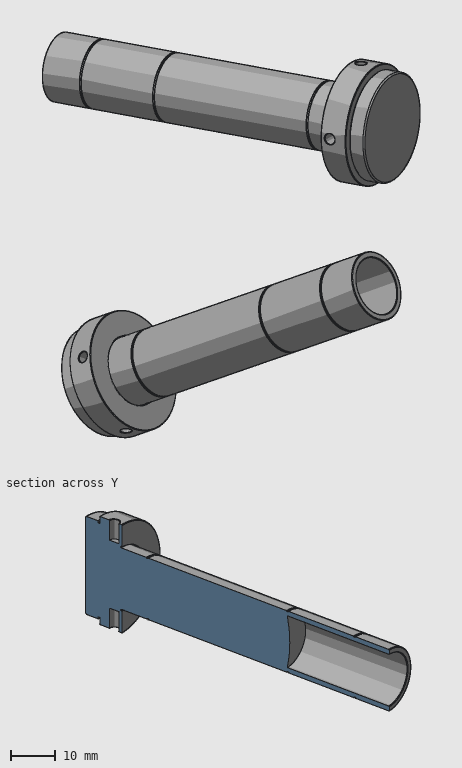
import cadquery as cq

total_length = 86.5

tube_diameter = 16.0
tube_end_chamfer = 0.2

bore_diameter = 13.2
bore_depth = 29.0
bore_mouth_chamfer = 0.2
dome_height = 0.7

groove_centres = (9.95, 29.0, 68.8)
groove_width = 0.4
groove_depth = 0.2

flange_start = 75.9
flange_end = 82.4
flange_diameter = 28.0
flange_chamfer = 0.2
relief_diameter = 16.4
relief_depth = 0.4

screw_hole_count = 4
screw_hole_x = 78.25
screw_hole_diameter = 2.5
screw_mouth_diameter = 2.85
screw_hole_depth = 5.2

neck_diameter = 24.4
ring_start = 82.8
ring_diameter = 25.4
ring_chamfer = 0.35

cut_clearance = 0.9


def cylinder(start, end, diameter):
    """Solid cylinder on the X axis between two stations."""
    return cq.Workplane("YZ", origin=(start, 0, 0)).circle(diameter / 2).extrude(end - start)


def tube_ring(start, end, inner_diameter, outer_diameter):
    """Hollow cylinder on the X axis between two stations."""
    return cylinder(start, end, outer_diameter).cut(cylinder(start, end, inner_diameter))


def tube_groove(centre):
    """Cutter for one shallow groove around the tube."""
    half_width = groove_width / 2
    floor_diameter = tube_diameter - 2 * groove_depth
    return tube_ring(
        centre - half_width, centre + half_width, floor_diameter, tube_diameter + cut_clearance
    )


def bore():
    """Cutter for the blind bore, whose floor is a dome bulging toward the open end."""
    radius = bore_diameter / 2
    dome_radius = (radius**2 + dome_height**2) / (2 * dome_height)
    return (
        cq.Workplane("XY")
        .lineTo(0, radius + bore_mouth_chamfer)
        .lineTo(bore_mouth_chamfer, radius)
        .lineTo(bore_depth, radius)
        .radiusArc((bore_depth - dome_height, 0), -dome_radius)
        .close()
        .revolve(360, (0, 0, 0), (1, 0, 0))
    )


def screw_hole(angle):
    """Cutter for one blind radial hole with a countersunk mouth, turned about the X axis."""
    rim = flange_diameter / 2
    floor = rim - screw_hole_depth
    hole_radius = screw_hole_diameter / 2
    mouth_radius = screw_mouth_diameter / 2
    countersink_depth = mouth_radius - hole_radius
    return (
        cq.Workplane("XZ", origin=(screw_hole_x, 0, 0))
        .moveTo(0, floor)
        .lineTo(hole_radius, floor)
        .lineTo(hole_radius, rim - countersink_depth)
        .lineTo(mouth_radius, rim)
        .lineTo(mouth_radius, rim + cut_clearance)
        .lineTo(0, rim + cut_clearance)
        .close()
        .revolve(360, (0, 0, 0), (0, 1, 0))
        .rotate((0, 0, 0), (1, 0, 0), angle)
    )


tube = cylinder(0, flange_start, tube_diameter).faces("<X").chamfer(tube_end_chamfer)
flange = cylinder(flange_start, flange_end, flange_diameter).edges().chamfer(flange_chamfer)
neck = cylinder(flange_end, ring_start, neck_diameter)
end_ring = cylinder(ring_start, total_length, ring_diameter).faces(">X").chamfer(ring_chamfer)
result = tube.union(flange).union(neck).union(end_ring)

result = result.cut(bore())
result = result.cut(
    tube_ring(flange_start, flange_start + relief_depth, tube_diameter, relief_diameter)
)

for groove_centre in groove_centres:
    result = result.cut(tube_groove(groove_centre))

for hole in range(screw_hole_count):
    result = result.cut(screw_hole(hole * 360 / screw_hole_count))